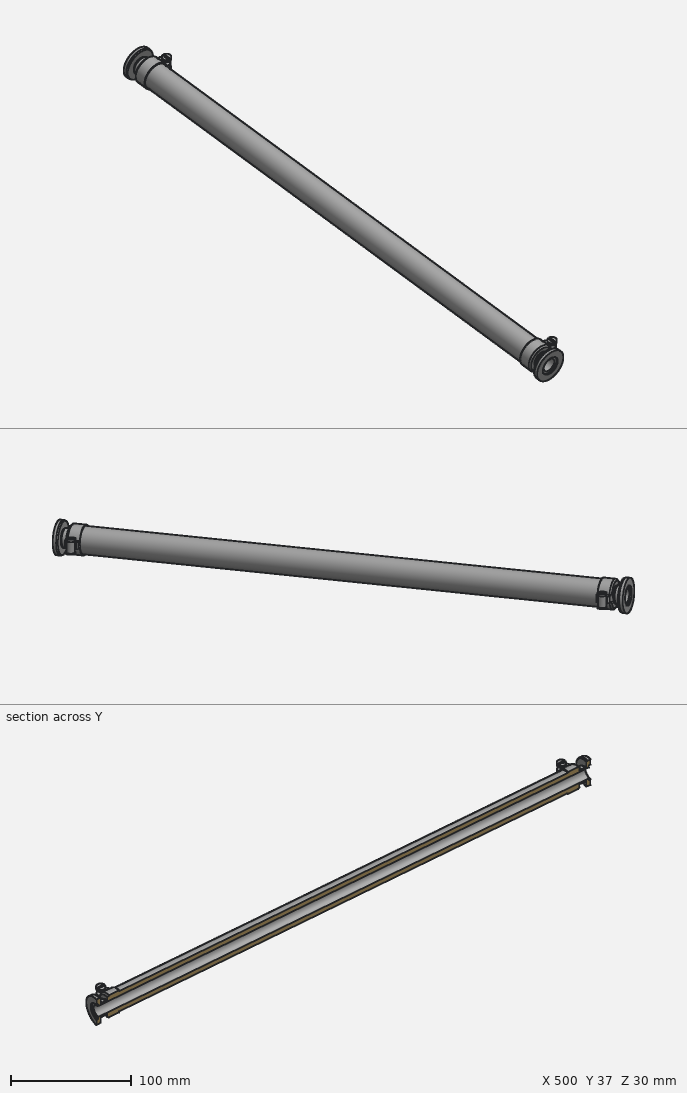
import cadquery as cq

length = 500.0

flange_dia = 30.0
rim_width = 3.0
cone_width = 1.5
cone_dia = 29.0

neck_dia = 15.5
band_dia = 17.0
band_start = 5.5
band_width = 4.0

bore_dia = 12.0
recess_dia = 17.0
recess_depth = 1.5

collar_dia = 26.0
collar_start = 11.0
collar_width = 12.0
collar_chamfer = 1.5
tube_dia = 24.0

lug_width = collar_width
lug_reach = 17.5
lug_root = 11.0
lug_top = 3.0
lug_bottom = -3.0
lug_chamfer = 1.5
pin_y = 18.0
pin_dia = 7.0
disc_dia = 8.0
top_disc_height = 2.0
bottom_disc_height = 1.0
pin_top = 6.0
pin_bottom = -7.0
slot_width = 1.5
slot_depth = 1.0

half_length = length / 2
collar_mid = half_length - collar_start - collar_width / 2


def end_half():
    """The +X half of the round body, turned about X from its half section."""
    collar_outer = half_length - collar_start
    collar_inner = collar_outer - collar_width
    band_outer = half_length - band_start
    band_inner = band_outer - band_width
    rim_start = half_length - rim_width
    flange_back = rim_start - cone_width
    section = (
        cq.Workplane("XZ")
        .moveTo(0, 0)
        .lineTo(0, tube_dia / 2)
        .lineTo(collar_inner, tube_dia / 2)
        .lineTo(collar_inner, collar_dia / 2)
        .lineTo(collar_outer - collar_chamfer, collar_dia / 2)
        .lineTo(collar_outer, collar_dia / 2 - collar_chamfer)
        .lineTo(collar_outer, neck_dia / 2)
        .lineTo(band_inner, neck_dia / 2)
        .lineTo(band_inner, band_dia / 2)
        .lineTo(band_outer, band_dia / 2)
        .lineTo(band_outer, neck_dia / 2)
        .lineTo(flange_back, neck_dia / 2)
        .lineTo(flange_back, cone_dia / 2)
        .lineTo(rim_start, flange_dia / 2)
        .lineTo(half_length, flange_dia / 2)
        .lineTo(half_length, 0)
        .close()
    )
    return section.revolve(360, (0, 0, 0), (1, 0, 0))


def upright(x, dia, bottom, top):
    """Upright cylinder on the pin axis of the fitting at x."""
    return cq.Workplane("XY", origin=(x, pin_y, bottom)).circle(dia / 2).extrude(top - bottom)


def fitting(x):
    """Lug, pin and the two discs, the top one slotted, of the side fitting at x."""
    lug = (
        cq.Workplane("XY", origin=(x, (lug_root + lug_reach) / 2, lug_bottom))
        .rect(lug_width, lug_reach - lug_root)
        .extrude(lug_top - lug_bottom)
        .edges("|Z and >Y")
        .chamfer(lug_chamfer)
    )
    pin = upright(x, pin_dia, pin_bottom, pin_top)
    top_disc = upright(x, disc_dia, pin_top - top_disc_height, pin_top)
    bottom_disc = upright(x, disc_dia, pin_bottom, pin_bottom + bottom_disc_height)
    slot = (
        cq.Workplane("XY", origin=(x, pin_y, pin_top - slot_depth))
        .rect(disc_dia, slot_width)
        .extrude(slot_depth)
    )
    return lug.union(pin).union(top_disc).union(bottom_disc).cut(slot)


half_body = end_half()
body = half_body.union(half_body.mirror("YZ"))
for side in (-1, 1):
    body = body.union(fitting(side * collar_mid))

bore = cq.Workplane("YZ").circle(bore_dia / 2).extrude(half_length, both=True)
body = body.cut(bore)
for side in (-1, 1):
    recess = (
        cq.Workplane("YZ", origin=(side * half_length, 0, 0))
        .circle(recess_dia / 2)
        .extrude(-side * recess_depth)
    )
    body = body.cut(recess)

result = body